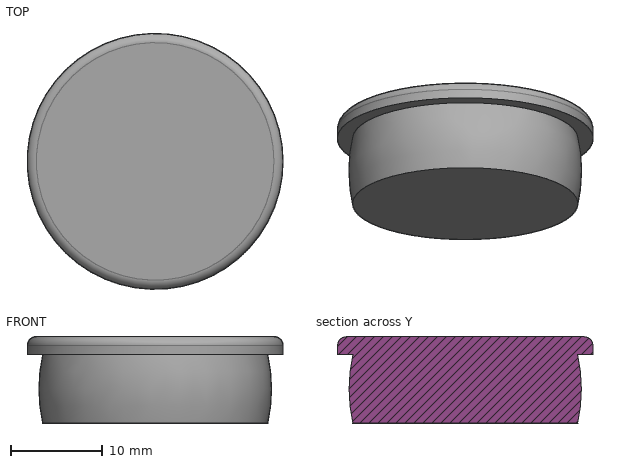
import cadquery as cq

total_height = 9.5
flange_diameter = 28.0
flange_thickness = 2.0
rim_radius = 1.0
plug_end_diameter = 24.65
plug_bulge = 0.42

flange_radius = flange_diameter / 2
plug_end_radius = plug_end_diameter / 2
plug_height = total_height - flange_thickness


def make_plug():
    """Solid plug whose side bulges outward in a shallow arc."""
    profile = (
        cq.Workplane("XZ")
        .lineTo(plug_end_radius, 0)
        .threePointArc(
            (plug_end_radius + plug_bulge, plug_height / 2),
            (plug_end_radius, plug_height),
        )
        .lineTo(0, plug_height)
        .close()
    )
    return profile.revolve(360, (0, 0, 0), (0, 1, 0))


def make_flange():
    """Disc with its top outer edge rounded."""
    disc = cq.Workplane("XY").workplane(offset=plug_height).circle(flange_radius).extrude(flange_thickness)
    return disc.faces(">Z").edges().fillet(rim_radius)


result = make_plug().union(make_flange())